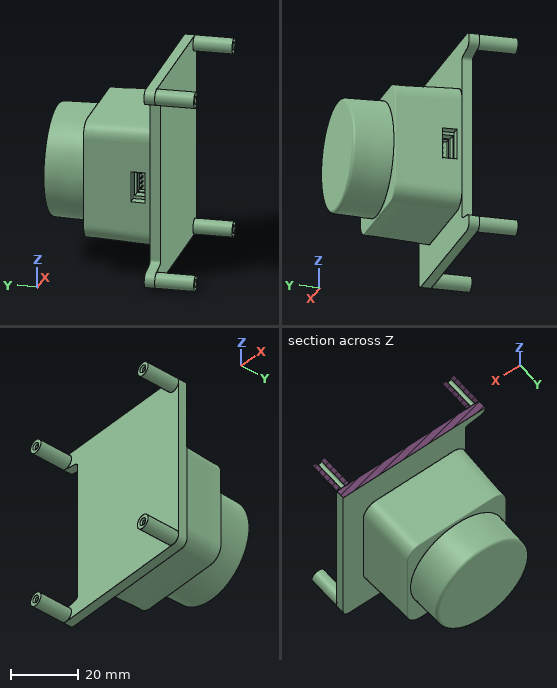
import cadquery as cq
import math


PLATE_WIDTH = 54.0
PLATE_HEIGHT = 63.0
PLATE_THICKNESS = 3.3
EAR_RADIUS = 2.45
EAR_INSET = 7.6
EAR_SLOPE = math.radians(10)
EAR_FILLET = 1.25

STANDOFF_LENGTH = 12.0
BORE_DIAMETER = 1.5
COUNTERSINK_DIAMETER = 2.5
COUNTERSINK_ANGLE = 90

HOUSING_Z = -2.1
HOUSING_BASE_SIDE = 38.7
HOUSING_LID_SIDE = 37.5
HOUSING_CORNER_RADIUS = 5.0
HOUSING_DRAFTED_DEPTH = 17.4
LID_DEPTH = 3.3
LID_EDGE_FILLET = 0.4

HEAD_BASE_DIAMETER = 35.4
HEAD_TIP_DIAMETER = 34.8
HEAD_EDGE_FILLET = 1.0
OVERALL_DEPTH = 48.5

SOCKET_WIDTH = 4.35
SOCKET_HEIGHT = 9.45
SOCKET_GAP = 1.6
SOCKET_DEPTH = 3.15
OPENING_WIDTH = 3.5
OPENING_HEIGHT = 7.55
OPENING_GAP = 1.9
OPENING_DEPTH = 3.0
CAVITY_WIDTH = 2.85
CAVITY_HEIGHT = 7.05
CAVITY_GAP = 2.3
CAVITY_DEPTH = 2.0
PIN_COUNT = 4
PIN_PITCH = 1.5
PIN_DIAMETER = 0.4
PIN_GAP = 4.2

CORNER_X = PLATE_WIDTH / 2 - EAR_RADIUS
CORNER_Z = PLATE_HEIGHT / 2 - EAR_RADIUS
LID_Y = PLATE_THICKNESS + HOUSING_DRAFTED_DEPTH
HEAD_Y = LID_Y + LID_DEPTH
HEAD_LENGTH = OVERALL_DEPTH - STANDOFF_LENGTH - HEAD_Y
HOUSING_SIDE_X = -HOUSING_BASE_SIDE / 2
SOCKET_FLOOR_X = HOUSING_SIDE_X + SOCKET_DEPTH
OPENING_FLOOR_X = SOCKET_FLOOR_X + OPENING_DEPTH
CAVITY_FLOOR_X = OPENING_FLOOR_X + CAVITY_DEPTH


def plane_facing_plus_y(y, z=0):
    """Workplane at the given y whose extrusions run toward +Y."""
    return cq.Workplane(cq.Plane(origin=(0, y, z), xDir=(1, 0, 0), normal=(0, 1, 0)))


def make_plate():
    """Plate whose -X edge is cut back between two ears tangent to the corner circles."""
    left = -PLATE_WIDTH / 2
    right = PLATE_WIDTH / 2
    top = PLATE_HEIGHT / 2
    tangent_x = -CORNER_X - EAR_RADIUS * math.sin(EAR_SLOPE)
    tangent_z = CORNER_Z - EAR_RADIUS * math.cos(EAR_SLOPE)
    inner_x = left + EAR_INSET
    inner_z = tangent_z - (inner_x - tangent_x) * math.tan(EAR_SLOPE)
    plate = (
        plane_facing_plus_y(0)
        .moveTo(right, -top)
        .lineTo(right, top)
        .lineTo(-CORNER_X, top)
        .threePointArc((left, CORNER_Z), (tangent_x, tangent_z))
        .lineTo(inner_x, inner_z)
        .lineTo(inner_x, -inner_z)
        .lineTo(tangent_x, -tangent_z)
        .threePointArc((left, -CORNER_Z), (-CORNER_X, -top))
        .close()
        .extrude(PLATE_THICKNESS)
    )
    plate = plate.edges("|Y and >X").fillet(EAR_RADIUS)
    for z in (-inner_z, inner_z):
        notch_corner = cq.NearestToPointSelector((inner_x, PLATE_THICKNESS / 2, z))
        plate = plate.edges(notch_corner).fillet(EAR_FILLET)
    return plate


def rounded_square(side):
    return cq.Sketch().rect(side, side).vertices().fillet(HOUSING_CORNER_RADIUS)


def make_housing():
    """Drafted lower part, and a straight-sided lid with a rounded front edge."""
    draft_direction = cq.Vector(0, 0, HOUSING_DRAFTED_DEPTH)
    lower_part = (
        plane_facing_plus_y(PLATE_THICKNESS, HOUSING_Z)
        .placeSketch(
            rounded_square(HOUSING_BASE_SIDE),
            rounded_square(HOUSING_LID_SIDE).moved(cq.Location(draft_direction)),
        )
        .loft()
    )
    lid = (
        plane_facing_plus_y(LID_Y, HOUSING_Z)
        .placeSketch(rounded_square(HOUSING_LID_SIDE))
        .extrude(LID_DEPTH)
        .faces(">Y")
        .edges()
        .fillet(LID_EDGE_FILLET)
    )
    return lower_part.union(lid)


def make_head():
    """Slightly conical round head with a rounded front edge."""
    return (
        plane_facing_plus_y(HEAD_Y, HOUSING_Z)
        .circle(HEAD_BASE_DIAMETER / 2)
        .workplane(offset=HEAD_LENGTH)
        .circle(HEAD_TIP_DIAMETER / 2)
        .loft(ruled=True)
        .faces(">Y")
        .edges()
        .fillet(HEAD_EDGE_FILLET)
    )


def recess(start_x, floor_x, gap, width, height):
    """Box that cuts from start_x to floor_x, beginning a gap away from the plate."""
    return (
        cq.Workplane("XY", origin=(start_x, PLATE_THICKNESS + gap, HOUSING_Z))
        .box(floor_x - start_x, width, height, centered=(False, False, True))
    )


def cut_connector(sensor):
    """Stepped socket in the -X side with a row of pins standing on the cavity floor."""
    socket = recess(HOUSING_SIDE_X, SOCKET_FLOOR_X, SOCKET_GAP, SOCKET_WIDTH, SOCKET_HEIGHT)
    opening = recess(SOCKET_FLOOR_X, OPENING_FLOOR_X, OPENING_GAP, OPENING_WIDTH, OPENING_HEIGHT)
    cavity = recess(OPENING_FLOOR_X, CAVITY_FLOOR_X, CAVITY_GAP, CAVITY_WIDTH, CAVITY_HEIGHT)
    pins = (
        cq.Workplane("YZ", origin=(OPENING_FLOOR_X, PLATE_THICKNESS + PIN_GAP, HOUSING_Z))
        .rarray(0.6, PIN_PITCH, 1, PIN_COUNT)
        .circle(PIN_DIAMETER / 2)
        .extrude(CAVITY_DEPTH)
    )
    return sensor.cut(socket).cut(opening).cut(cavity).union(pins)


def make_sensor():
    """Plate, housing and head as one solid, with the connector socket cut in."""
    return cut_connector(make_plate().union(make_housing()).union(make_head()))


def make_standoff(x, z):
    """Tube on the -Y side of the plate, countersunk at its free end."""
    return (
        cq.Workplane("XZ", origin=(x, 0, z))
        .circle(EAR_RADIUS)
        .extrude(STANDOFF_LENGTH)
        .faces("<Y")
        .workplane(origin=(x, -STANDOFF_LENGTH, z))
        .cskHole(BORE_DIAMETER, COUNTERSINK_DIAMETER, COUNTERSINK_ANGLE)
    )


sensor = make_sensor()
standoffs = [
    make_standoff(x, z)
    for x in (-CORNER_X, CORNER_X)
    for z in (-CORNER_Z, CORNER_Z)
]

result = cq.Compound.makeCompound([sensor.val(), *[standoff.val() for standoff in standoffs]])